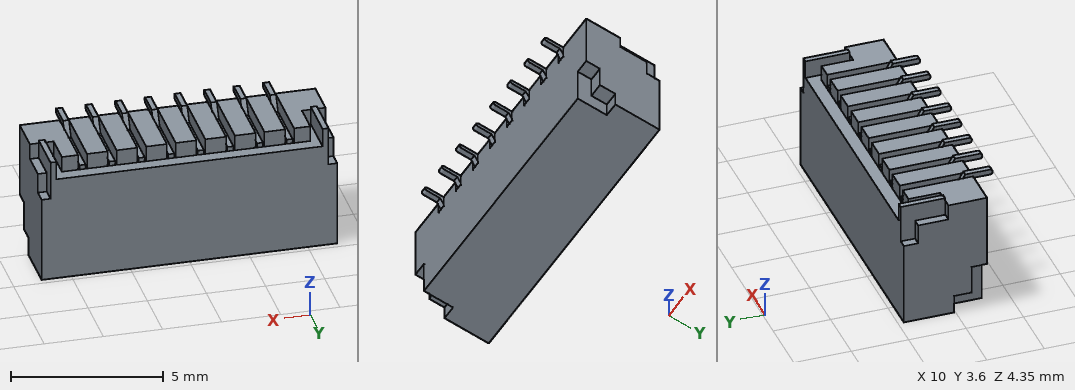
import cadquery as cq
import math

length = 10.0
body_depth = 2.9
body_height = 4.25

contact_count = 8
contact_pitch = 1.0
contact_width = 0.2
slot_width = 0.3
ledge_height = 3.7
overall_depth = 3.6
overall_height = 4.35
foot_thickness = 0.2
foot_top_length = 0.95
foot_bottom_length = 0.6
tail_height = 0.16
riser_angle = 60.0

recess_depth = 0.45
end_recess_depth = 1.55
end_recess_width = 0.8
tab_outer = 0.3
tab_width = 0.2
corner_depth = 0.5
corner_floor = 3.0

notch_width = 0.5
notch_lower_depth = 1.15
notch_lower_height = 0.65
notch_upper_depth = 0.54
notch_upper_height = 1.65


def box(x_min, x_max, y_min, y_max, z_min, z_max):
    size = (x_max - x_min, y_max - y_min, z_max - z_min)
    return cq.Workplane("XY").box(*size, centered=False).translate((x_min, y_min, z_min))


def both_ends(shape):
    return shape.union(shape.mirror("YZ"))


def contact(x):
    """Flat tail along the slot floor, riser leaning forward, then a flat foot with a rounded tip."""
    slope = math.tan(math.radians(riser_angle))
    tip_radius = foot_thickness / 2
    tip_start = -overall_depth + tip_radius
    foot_bottom = overall_height - foot_thickness
    tail_top = ledge_height + tail_height
    upper_bend = -overall_depth + foot_top_length
    lower_bend = -overall_depth + foot_bottom_length
    riser_back = upper_bend + (overall_height - tail_top) / slope
    riser_front = lower_bend + (foot_bottom - ledge_height) / slope
    profile = (
        cq.Workplane("YZ")
        .moveTo(-recess_depth, ledge_height)
        .lineTo(-recess_depth, tail_top)
        .lineTo(riser_back, tail_top)
        .lineTo(upper_bend, overall_height)
        .lineTo(tip_start, overall_height)
        .threePointArc((-overall_depth, overall_height - tip_radius), (tip_start, foot_bottom))
        .lineTo(lower_bend, foot_bottom)
        .lineTo(riser_front, ledge_height)
        .close()
    )
    return profile.extrude(contact_width / 2, both=True).translate((x, 0, 0))


half_length = length / 2
body = box(-half_length, half_length, -body_depth, 0, 0, body_height)

end_x = -half_length + end_recess_width
body = body.cut(box(-half_length, half_length, -recess_depth, 0, ledge_height, body_height))
end_recess = box(-half_length, end_x, -end_recess_depth, 0, ledge_height, body_height)
body = body.cut(both_ends(end_recess))

tab_x = -half_length + tab_outer
corner = box(-half_length, tab_x, -corner_depth, 0, corner_floor, ledge_height)
body = body.cut(both_ends(corner))

tab = box(tab_x, tab_x + tab_width, -end_recess_depth, 0, ledge_height, overall_height)
body = body.union(both_ends(tab))

notch_x = -half_length + notch_width
lower_back = -body_depth + notch_lower_depth
upper_back = -body_depth + notch_upper_depth
lower_notch = box(-half_length, notch_x, -body_depth, lower_back, 0, notch_lower_height)
upper_notch = box(-half_length, notch_x, -body_depth, upper_back, 0, notch_upper_height)
body = body.cut(both_ends(lower_notch.union(upper_notch)))

for index in range(contact_count):
    x = (index - (contact_count - 1) / 2) * contact_pitch
    slot = box(x - slot_width / 2, x + slot_width / 2, -body_depth, 0, ledge_height, body_height)
    body = body.cut(slot).union(contact(x))

result = body